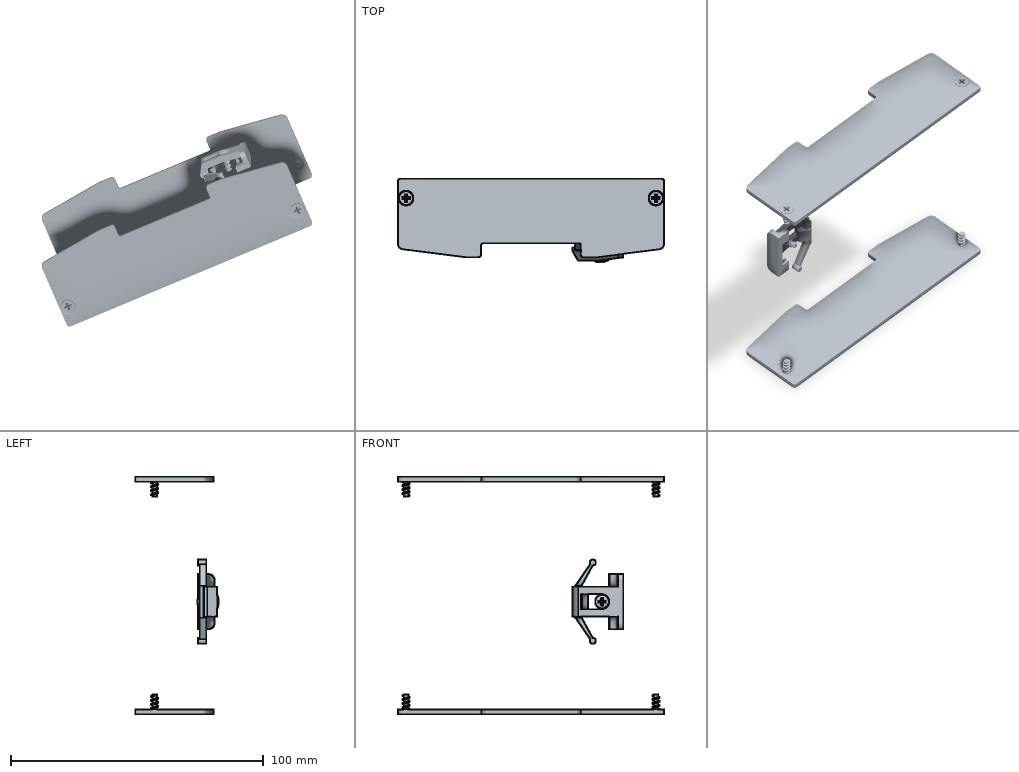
import cadquery as cq
import math

PLATE_LENGTH = 105.4
PLATE_SPAN = 94.0
PLATE_THICKNESS = 2.0
PLATE_DEPTH = 31.1
NOTCH_HALF_WIDTH = 19.7
NOTCH_DEPTH = 25.6
SLOPE_START = 26.0
SLOPE_END_DEPTH = 27.7
BACK_CORNER_RADIUS = 1.1
FRONT_CORNER_RADIUS = 2.3
NOTCH_OUTER_RADIUS = 1.2
NOTCH_INNER_RADIUS = 0.7
slope_angle = math.degrees(
    math.atan2(PLATE_DEPTH - SLOPE_END_DEPTH, PLATE_LENGTH / 2 - SLOPE_START)
)

HEAD_DIAMETER = 5.5
HEAD_HOLE_DIAMETER = 5.9
HEAD_RIM_HEIGHT = (HEAD_HOLE_DIAMETER - HEAD_DIAMETER) / 2
SHANK_DIAMETER = 2.0
SCREW_LENGTH = 7.9
SHANK_HOLE_DIAMETER = 3.2
THREAD_DIAMETER = 3.0
THREAD_PITCH = 1.6
THREAD_LENGTH = 5.5
THREAD_BASE_WIDTH = 0.7
THREAD_CREST_WIDTH = 0.2
THREAD_TIP_GAP = 0.4
THREAD_OVERLAP = 0.2
CROSS_LENGTH = 3.2
CROSS_WIDTH = 1.0
CROSS_DEPTH = 1.3
CROSS_TAPER = 15
DOME_HEIGHT = 0.6
SCREW_X = 49.4
SCREW_Y = -7.7

CLIP_Z = -2.4
CLIP_HALF_HEIGHT = 5.9
CLIP_FRONT_Y = -32.5
CLIP_BACK_Y = -24.8
CLIP_WALL = 2.5
LATCH_LEFT_X = 16.3
LATCH_FRONT_X = 18.7
LATCH_SHOULDER_Y = -28.6
LATCH_LIP_HEIGHT = 1.2
LATCH_STEM_LEFT_X = 17.3
LATCH_STEM_RIGHT_X = 19.8
LATCH_BEND_X = 20.3
LATCH_STEM_Y = -27.0
LATCH_BACK_Y = -25.5
CLIP_BEND_X = 26.4
CLIP_RIGHT_X = 36.6

WINDOW_LEFT_X = 19.7
WINDOW_HALF_HEIGHT = 3.0
TONGUE_LEFT_X = 17.9
TONGUE_CREST_X = 19.0
TONGUE_RIGHT_X = 22.6
TONGUE_RIGHT_Y = -26.9

END_WALL = 2.1
WING_HALF_HEIGHT = 11.0
WING_RADIUS = 2.4
HOOK_LEFT_X = 30.8
HOOK_THICKNESS = 2.1
HOOK_CHAMFER = 0.3

ARM_FRONT_Y = -28.1
ARM_ROOT_HEIGHT = 0.4
ARM_TIP_X = 24.5
ARM_TIP_Z = 15.5
ARM_TIP_DIAMETER = 2.4
ARM_TIP_HALF_WIDTH = 0.6

CLIP_SCREW_X = 28.0
CLIP_HEAD_PROUD = 0.2


def round_corners(plate, x, y, radius):
    """Rounds the pair of upright plate edges at (-x, y) and (x, y)."""
    for side in (-1, 1):
        corner = cq.selectors.NearestToPointSelector((side * x, y, -PLATE_THICKNESS / 2))
        plate = plate.edges("|Z").edges(corner).fillet(radius)
    return plate


def make_plate():
    """A side plate with its outer face at Z = 0, lying below it."""
    half = PLATE_LENGTH / 2
    outline = [
        (-half, 0),
        (-half, -SLOPE_END_DEPTH),
        (-SLOPE_START, -PLATE_DEPTH),
        (-NOTCH_HALF_WIDTH, -PLATE_DEPTH),
        (-NOTCH_HALF_WIDTH, -NOTCH_DEPTH),
        (NOTCH_HALF_WIDTH, -NOTCH_DEPTH),
        (NOTCH_HALF_WIDTH, -PLATE_DEPTH),
        (SLOPE_START, -PLATE_DEPTH),
        (half, -SLOPE_END_DEPTH),
        (half, 0),
    ]
    plate = cq.Workplane("XY").polyline(outline).close().extrude(-PLATE_THICKNESS)
    plate = round_corners(plate, half, 0, BACK_CORNER_RADIUS)
    plate = round_corners(plate, half, -SLOPE_END_DEPTH, FRONT_CORNER_RADIUS)
    plate = round_corners(plate, NOTCH_HALF_WIDTH, -PLATE_DEPTH, NOTCH_OUTER_RADIUS)
    plate = round_corners(plate, NOTCH_HALF_WIDTH, -NOTCH_DEPTH, NOTCH_INNER_RADIUS)
    for x in (-SCREW_X, SCREW_X):
        plate = plate.cut(make_screw_hole().translate((x, SCREW_Y, 0)))
    return plate


def make_thread():
    """A right-handed ridge that climbs from the tip of the shank."""
    root = SHANK_DIAMETER / 2 - THREAD_OVERLAP
    crest = THREAD_DIAMETER / 2
    profile = [
        (root, -THREAD_BASE_WIDTH / 2),
        (crest, -THREAD_CREST_WIDTH / 2),
        (crest, THREAD_CREST_WIDTH / 2),
        (root, THREAD_BASE_WIDTH / 2),
    ]
    path = cq.Wire.makeHelix(THREAD_PITCH, THREAD_LENGTH, SHANK_DIAMETER / 2)
    return cq.Workplane("XZ").polyline(profile).close().sweep(cq.Workplane(path), isFrenet=True)


def make_screw_hole():
    """Cutter along Z for a screw whose countersink opens at Z = 0."""
    mouth = HEAD_HOLE_DIAMETER / 2
    bore = SHANK_HOLE_DIAMETER / 2
    profile = [
        (0, 0),
        (mouth, 0),
        (bore, bore - mouth),
        (bore, -SCREW_LENGTH),
        (0, -SCREW_LENGTH),
    ]
    return cq.Workplane("XZ").polyline(profile).close().revolve(360, (0, 0, 0), (0, 1, 0))


def make_cross_recess(top_z):
    """Cutter for the tapered cross-shaped driver recess, opening at top_z."""
    half_length = CROSS_LENGTH / 2
    half_width = CROSS_WIDTH / 2
    quarter = [(half_length, -half_width), (half_length, half_width), (half_width, half_width)]
    cross_points = []
    for _ in range(4):
        cross_points += quarter
        quarter = [(-y, x) for x, y in quarter]
    return (
        cq.Workplane("XY", origin=(0, 0, top_z))
        .polyline(cross_points)
        .close()
        .extrude(-CROSS_DEPTH, taper=CROSS_TAPER)
    )


def make_screw(dome_height):
    """A screw along Z with its head rim at Z = 0 and its tip below."""
    head_radius = HEAD_DIAMETER / 2
    shank_radius = SHANK_DIAMETER / 2
    tip_z = -SCREW_LENGTH
    outline = (
        cq.Workplane("XZ")
        .moveTo(0, tip_z)
        .lineTo(shank_radius, tip_z)
        .lineTo(shank_radius, -HEAD_RIM_HEIGHT - (head_radius - shank_radius))
        .lineTo(head_radius, -HEAD_RIM_HEIGHT)
        .lineTo(head_radius, 0)
    )
    if dome_height > 0:
        dome_radius = (head_radius**2 + dome_height**2) / (2 * dome_height)
        half_way = math.asin(head_radius / dome_radius) / 2
        half_way_point = (
            dome_radius * math.sin(half_way),
            dome_height - dome_radius * (1 - math.cos(half_way)),
        )
        outline = outline.threePointArc(half_way_point, (0, dome_height))
    else:
        outline = outline.lineTo(0, 0)
    blank = outline.close().revolve(360, (0, 0, 0), (0, 1, 0))
    thread = make_thread().translate((0, 0, tip_z + THREAD_TIP_GAP))
    return blank.union(thread).cut(make_cross_recess(dome_height))


def clip_front_y(x):
    """Y of the clip's outer face, which slopes parallel to the plates' front edge."""
    return CLIP_FRONT_Y + max(0, x - CLIP_BEND_X) * math.tan(math.radians(slope_angle))


def prism(points, half_height):
    """An XY outline extruded equally up and down from Z = 0."""
    return cq.Workplane("XY").polyline(points).close().extrude(half_height, both=True)


def make_clip_body():
    """The bent strip with the latch at its left end."""
    outline = [
        (LATCH_FRONT_X, CLIP_FRONT_Y),
        (LATCH_LEFT_X, LATCH_SHOULDER_Y),
        (LATCH_LEFT_X, LATCH_SHOULDER_Y + LATCH_LIP_HEIGHT),
        (LATCH_STEM_LEFT_X, LATCH_STEM_Y),
        (LATCH_STEM_LEFT_X, LATCH_BACK_Y),
        (LATCH_STEM_RIGHT_X, LATCH_BACK_Y),
        (LATCH_STEM_RIGHT_X, LATCH_SHOULDER_Y),
        (LATCH_BEND_X, CLIP_FRONT_Y + CLIP_WALL),
        (CLIP_BEND_X, CLIP_FRONT_Y + CLIP_WALL),
        (CLIP_RIGHT_X, clip_front_y(CLIP_RIGHT_X) + CLIP_WALL),
        (CLIP_RIGHT_X, clip_front_y(CLIP_RIGHT_X)),
        (CLIP_BEND_X, CLIP_FRONT_Y),
    ]
    return prism(outline, CLIP_HALF_HEIGHT)


def make_end_wall():
    """The tall right-hand wall with its two rounded front corners."""
    left = CLIP_RIGHT_X - END_WALL
    wall = prism(
        [
            (left, clip_front_y(left)),
            (CLIP_RIGHT_X, clip_front_y(CLIP_RIGHT_X)),
            (CLIP_RIGHT_X, CLIP_BACK_Y),
            (left, CLIP_BACK_Y),
        ],
        WING_HALF_HEIGHT,
    )
    return wall.faces("<Y").edges("<Z or >Z").fillet(WING_RADIUS)


def make_hook():
    """The upper hook, bent back toward the latch."""
    inner_y = CLIP_BACK_Y - HOOK_THICKNESS
    left = CLIP_RIGHT_X - END_WALL
    outline = [
        (CLIP_RIGHT_X, CLIP_BACK_Y),
        (HOOK_LEFT_X, CLIP_BACK_Y),
        (HOOK_LEFT_X, inner_y + HOOK_CHAMFER),
        (HOOK_LEFT_X + HOOK_CHAMFER, inner_y),
        (left - HOOK_CHAMFER, inner_y),
        (left, inner_y - HOOK_CHAMFER),
        (CLIP_RIGHT_X, inner_y - HOOK_CHAMFER),
    ]
    hook = cq.Workplane("XY").polyline(outline).close().extrude(WING_HALF_HEIGHT - CLIP_HALF_HEIGHT)
    return hook.translate((0, 0, CLIP_HALF_HEIGHT))


def make_arm():
    """The upper spring arm with its rounded tip."""
    root_top = CLIP_HALF_HEIGHT + ARM_ROOT_HEIGHT
    strip = (
        cq.Workplane("XZ", origin=(0, LATCH_BACK_Y, 0))
        .polyline(
            [
                (LATCH_STEM_LEFT_X, CLIP_HALF_HEIGHT),
                (LATCH_STEM_RIGHT_X, CLIP_HALF_HEIGHT),
                (ARM_TIP_X + ARM_TIP_HALF_WIDTH, ARM_TIP_Z),
                (ARM_TIP_X - ARM_TIP_HALF_WIDTH, ARM_TIP_Z),
            ]
        )
        .close()
        .extrude(LATCH_BACK_Y - ARM_FRONT_Y)
    )
    tip = (
        cq.Workplane("XZ", origin=(ARM_TIP_X, CLIP_BACK_Y, ARM_TIP_Z))
        .circle(ARM_TIP_DIAMETER / 2)
        .extrude(CLIP_BACK_Y - ARM_FRONT_Y)
    )
    root = (
        cq.Workplane("YZ", origin=(LATCH_STEM_LEFT_X, 0, 0))
        .polyline(
            [
                (LATCH_BACK_Y, CLIP_HALF_HEIGHT),
                (LATCH_BACK_Y, root_top),
                (ARM_FRONT_Y, root_top),
                (LATCH_SHOULDER_Y, CLIP_HALF_HEIGHT),
            ]
        )
        .close()
        .extrude(LATCH_STEM_RIGHT_X - LATCH_STEM_LEFT_X)
    )
    return strip.union(tip).union(root)


def on_clip_screw_axis(body):
    """Moves a body built along Z so that its Z = 0 plane lies on the clip's sloping face."""
    return (
        body.rotate((0, 0, 0), (1, 0, 0), 90)
        .rotate((0, 0, 0), (0, 0, 1), slope_angle)
        .translate((CLIP_SCREW_X, clip_front_y(CLIP_SCREW_X), 0))
    )


def to_plate_level(body, turn):
    """Moves a body to the upper plate's outer face, then turns it about Y (180 for the lower plate)."""
    return body.translate((0, 0, PLATE_SPAN / 2)).rotate((0, 0, 0), (0, 1, 0), turn)


def make_clip():
    """The whole rail clip, with its middle height at Z = 0."""
    upper = make_hook().union(make_arm())
    clip = make_clip_body().union(make_end_wall()).union(upper).union(upper.mirror("XY"))
    window_back_y = clip_front_y(CLIP_SCREW_X) + CLIP_WALL
    window = prism(
        [
            (WINDOW_LEFT_X, CLIP_FRONT_Y),
            (CLIP_SCREW_X, CLIP_FRONT_Y),
            (CLIP_SCREW_X, window_back_y),
            (WINDOW_LEFT_X, window_back_y),
        ],
        WINDOW_HALF_HEIGHT,
    )
    tongue = prism(
        [
            (TONGUE_LEFT_X, LATCH_SHOULDER_Y),
            (TONGUE_LEFT_X, CLIP_BACK_Y),
            (TONGUE_CREST_X, CLIP_BACK_Y),
            (TONGUE_RIGHT_X, TONGUE_RIGHT_Y),
            (TONGUE_RIGHT_X, LATCH_SHOULDER_Y),
        ],
        WINDOW_HALF_HEIGHT,
    )
    return clip.cut(window).union(tongue).cut(on_clip_screw_axis(make_screw_hole()))


plates = []
plate_screws = []
for turn in (0, 180):
    plates.append(to_plate_level(make_plate(), turn))
    for x in (-SCREW_X, SCREW_X):
        plate_screws.append(to_plate_level(make_screw(0).translate((x, SCREW_Y, 0)), turn))

clip = make_clip().translate((0, 0, CLIP_Z))
clip_screw = make_screw(DOME_HEIGHT).translate((0, 0, CLIP_HEAD_PROUD))
clip_screw = on_clip_screw_axis(clip_screw).translate((0, 0, CLIP_Z))

bodies = [*plates, *plate_screws, clip, clip_screw]
result = cq.Compound.makeCompound([body.solids().val() for body in bodies])